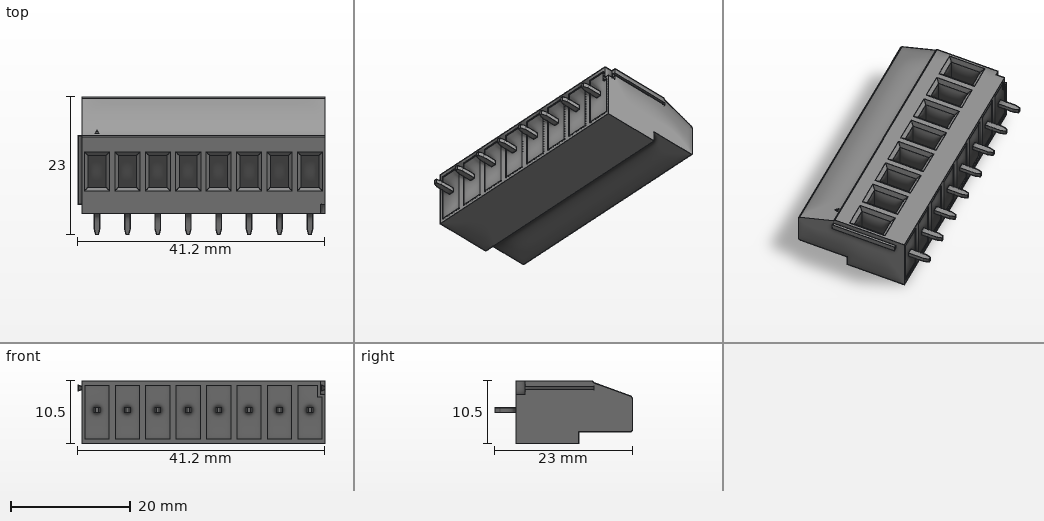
import cadquery as cq

pole_count = 8
pitch = 5.08
body_width = pole_count * pitch
left_end = -body_width / 2
right_end = body_width / 2

body_depth = 19.5
body_height = 10.5
foot_depth = 10.55
step_height = 1.95
ridge_y = 12.8
bevel_y = 13.03
bevel_z = 10.2
rear_slope_z = 7.85
rear_chamfer = 0.25

pin_length = 3.5
pin_width = 0.95
pin_thickness = 0.8
pin_z = 5.6
pin_tip_width = 0.45
pin_taper_length = 0.9
pin_root_depth = 0.3

recess_width = 4.04
recess_height = 9.0
recess_depth = 0.2
recess_bottom = (body_height - recess_height) / 2

flange_depth = 1.55
dovetail_reach = 0.6
dovetail_z = 9.3
dovetail_outer_height = 1.0
dovetail_neck_height = 0.5

notch_width = 0.8
notch_height = 2.25
notch_wall = 0.45

window_width = 4.2
window_length = 6.5
window_y = 7.05
window_chamfer = 0.6
window_depth = 5.0

marker_width = 0.6
marker_length = 0.6
marker_y = 13.35
marker_depth = 0.1


def pole_x(index):
    """X of the centre line of a pole."""
    return left_end + (index + 0.5) * pitch


def box(x_min, x_max, y_min, y_max, z_min, z_max):
    """Box given by its limits on each axis."""
    size = (x_max - x_min, y_max - y_min, z_max - z_min)
    return cq.Workplane("XY").box(*size, centered=False).translate((x_min, y_min, z_min))


def make_housing():
    """Side profile extruded over the whole row of poles."""
    profile = [
        (0, 0),
        (foot_depth, 0),
        (foot_depth, step_height),
        (body_depth, step_height),
        (body_depth, rear_slope_z),
        (bevel_y, bevel_z),
        (ridge_y, body_height),
        (0, body_height),
    ]
    housing = cq.Workplane("YZ").polyline(profile).close().extrude(body_width)
    housing = housing.translate((left_end, 0, 0))
    return housing.faces(">Y").edges("|X").chamfer(rear_chamfer)


def make_dovetail(end_x):
    """Dovetail bar that widens from a neck at end_x toward -X."""
    outer_half = dovetail_outer_height / 2
    neck_half = dovetail_neck_height / 2
    outer_x = end_x - dovetail_reach
    section = [
        (end_x, dovetail_z - neck_half),
        (end_x, dovetail_z + neck_half),
        (outer_x, dovetail_z + outer_half),
        (outer_x, dovetail_z - outer_half),
    ]
    length = bevel_y - flange_depth
    bar = cq.Workplane("XZ").polyline(section).close().extrude(-length)
    return bar.translate((0, flange_depth, 0))


def make_notch(clearance, depth):
    """Block at the top of the front right corner, grown by a clearance in X and Z."""
    inner_x = right_end - notch_width - clearance
    bottom_z = body_height - notch_height - clearance
    return box(inner_x, right_end, 0, depth, bottom_z, body_height)


def make_recess(center_x):
    """Shallow rectangular recess in the pin face."""
    half = recess_width / 2
    top = recess_bottom + recess_height
    return box(center_x - half, center_x + half, 0, recess_depth, recess_bottom, top)


def make_window(center_x):
    """Rectangular pocket with a chamfered mouth."""
    well_width = window_width - 2 * window_chamfer
    well_length = window_length - 2 * window_chamfer
    top = cq.Workplane("XY", origin=(center_x, window_y, body_height))
    mouth = (
        top.rect(window_width, window_length)
        .workplane(offset=-window_chamfer)
        .rect(well_width, well_length)
        .loft(ruled=True)
    )
    well = top.rect(well_width, well_length).extrude(-window_depth)
    return well.union(mouth)


def make_pin(center_x):
    """Flat pin with a tapered tip, rooted behind the recess floor."""
    half = pin_width / 2
    tip_half = pin_tip_width / 2
    taper_y = pin_taper_length - pin_length
    root_y = recess_depth + pin_root_depth
    outline = [
        (-half, root_y),
        (-half, taper_y),
        (-tip_half, -pin_length),
        (tip_half, -pin_length),
        (half, taper_y),
        (half, root_y),
    ]
    pin = cq.Workplane("XY").polyline(outline).close().extrude(pin_thickness)
    return pin.translate((center_x, 0, pin_z - pin_thickness / 2))


def make_marker(center_x):
    """Triangular cutter that reaches marker_depth into the sloping top."""
    slope = (bevel_z - rear_slope_z) / (body_depth - bevel_y)
    tip_y = marker_y + marker_length
    floor_start = bevel_z - slope * (marker_y - bevel_y) - marker_depth
    floor_end = bevel_z - slope * (tip_y - bevel_y) - marker_depth
    half = marker_width / 2
    triangle = [(-half, marker_y), (half, marker_y), (0, tip_y)]
    prism = cq.Workplane("XY").polyline(triangle).close().extrude(body_height)
    side = [
        (marker_y, floor_start),
        (tip_y, floor_end),
        (tip_y, body_height),
        (marker_y, body_height),
    ]
    above_floor = cq.Workplane("YZ").polyline(side).close().extrude(half, both=True)
    return prism.intersect(above_floor).translate((center_x, 0, 0))


result = make_housing()
result = result.union(make_dovetail(left_end))
result = result.cut(make_notch(0, flange_depth))
result = result.cut(make_dovetail(right_end))

notch_guard = make_notch(notch_wall, recess_depth)
for pole in range(pole_count):
    recess = make_recess(pole_x(pole)).cut(notch_guard)
    result = result.cut(recess)
    result = result.cut(make_window(pole_x(pole)))
    result = result.union(make_pin(pole_x(pole)))

result = result.cut(make_marker(pole_x(0)))